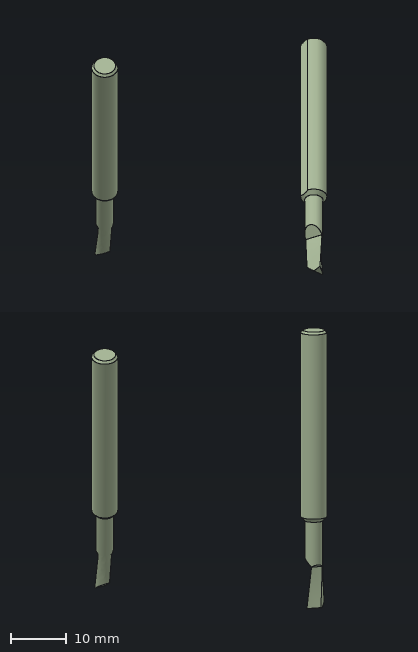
import cadquery as cq
import math

overall_length = 50.8
shank_radius = 4.76 / 2
flat_depth = 0.25
top_chamfer = 0.43

neck_radius = 1.65
neck_start_z = 7.65
shoulder_z = 15.9
shoulder_height = shank_radius - neck_radius

tip_twist = 27.0
flank_angle = 97.0
point_radius = 1.93
point_offset_x = 0.05

end_rise_x = 0.03
end_rise_y = 0.07
corner_x = 0.03
corner_z = 0.05

tool_size = 4 * shank_radius


def polar(radius, degrees, center_x=0.0):
    """Point on a circle centred on the X axis."""
    angle = math.radians(degrees)
    return center_x + radius * math.cos(angle), radius * math.sin(angle)


def tip_section(radius, twist, center_x, z):
    """Closed wire of the tip cross-section: flank chord, heel arc, rake chord."""
    cutting_edge = polar(radius, twist + 180, center_x)
    heel_start = polar(radius, twist - flank_angle, center_x)
    heel_middle = polar(radius, twist - flank_angle / 2, center_x)
    heel_end = polar(radius, twist, center_x)
    sketch = (
        cq.Workplane("XY", origin=(0, 0, z))
        .moveTo(*cutting_edge)
        .lineTo(*heel_start)
        .threePointArc(heel_middle, heel_end)
        .close()
    )
    return sketch.val()


def runout_cutter(normal_degrees, distance):
    """Wedge that leaves a 45 degree runout above a chord of the neck section."""
    start_x, start_y = polar(distance, normal_degrees)
    normal_x, normal_y = polar(1, normal_degrees)
    plane = cq.Plane(
        origin=(start_x, start_y, neck_start_z),
        xDir=(normal_x, normal_y, 0),
        normal=(normal_y, -normal_x, 0),
    )
    outline = [(0, 0), (tool_size, 0), (tool_size, tool_size)]
    return cq.Workplane(plane).polyline(outline).close().extrude(tool_size, both=True)


def block_below(origin, normal):
    """Large block whose upper face passes through origin; normal points into the part."""
    plane = cq.Plane(origin=origin, normal=normal)
    return cq.Workplane(plane).rect(tool_size, tool_size).extrude(-tool_size)


def make_body():
    """Turned shank, shoulder and neck with the clamping flat."""
    profile = [
        (0, neck_start_z),
        (neck_radius, neck_start_z),
        (neck_radius, shoulder_z),
        (shank_radius, shoulder_z + shoulder_height),
        (shank_radius, overall_length - top_chamfer),
        (shank_radius - top_chamfer, overall_length),
        (0, overall_length),
    ]
    body = cq.Workplane("XZ").polyline(profile).close().revolve(360, (0, 0, 0), (0, 1, 0))
    flat = cq.Workplane("XY").box(
        2 * shank_radius, 2 * flat_depth, overall_length, centered=(True, False, False)
    )
    return body.cut(flat.translate((0, shank_radius - flat_depth, 0)))


def add_runouts(body):
    """45 degree runouts where the rake and flank faces meet the neck."""
    half_chord_angle = (180 - flank_angle) / 2
    flank_distance = neck_radius * math.cos(math.radians(half_chord_angle))
    rake_runout = runout_cutter(tip_twist + 90, 0)
    flank_runout = runout_cutter(tip_twist + 180 + half_chord_angle, flank_distance)
    return body.cut(rake_runout).cut(flank_runout)


def make_tip():
    """Twisted tip with its end clearance and corner relief."""
    point = tip_section(point_radius, 0, point_offset_x, 0)
    root = tip_section(neck_radius, tip_twist, 0, neck_start_z)
    tip = cq.Workplane(cq.Solid.makeLoft([point, root], True))
    cutting_point = (point_offset_x - point_radius, 0, 0)
    end_clearance = block_below(cutting_point, (-end_rise_x, end_rise_y, 1))
    corner_relief = block_below((corner_x, 0, corner_z), (-1, 0, 1))
    return tip.cut(end_clearance).cut(corner_relief)


result = add_runouts(make_body()).union(make_tip())